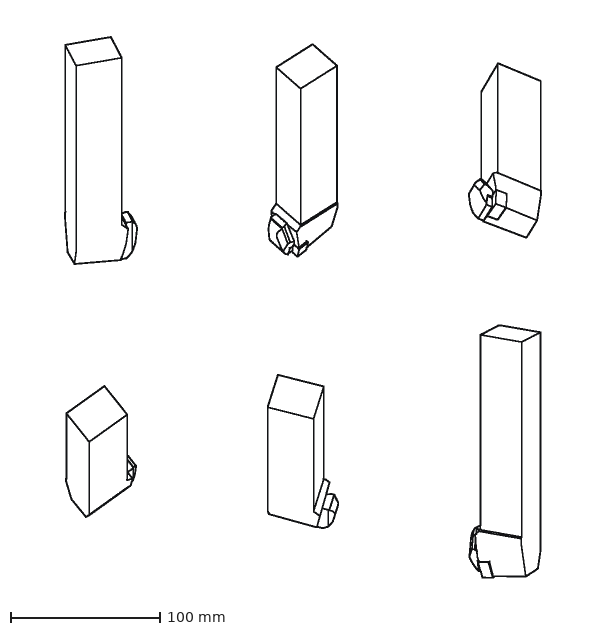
import cadquery as cq
import math

LENGTH = 171.4
WIDTH = 25.9
SHANK_DEPTH = 32.0
TOTAL_DEPTH = 44.9

HEAD_STEP = 0.5
STEP_TOP_Z = 34.5
STEP_BOTTOM_Z = 33.4
HEAD_SLOPE_SUM = 66.5
END_RELIEF_POINT = (6.0, 0, 5.1)
END_RELIEF_NORMAL = (0.07, -0.129, -1)
FLANK_POINT = (6.0, 0, 5.3)
FLANK_NORMAL = (-1, -0.1, -0.25)
BACK_RELIEF_Z = 18.2
BACK_RELIEF_SLOPE = 0.3

SEAT_POINT = (3.6, 32.2, 0)
SEAT_NORMAL = (-0.025, 1, -0.125)

INSERT_SIDE = 12.2
INSERT_THICKNESS = 8.0
INSERT_CORNER_ANGLE = 100.0
INSERT_EDGE_ANGLE = 6.5

CLAMP_TOP_Z = 31.7
CLAMP_RIGHT_X = 20.7
CLAMP_TOP_LEFT_X = 8.5
CLAMP_LEFT_X = 3.8
CLAMP_LEFT_Z = 18.8
CLAMP_NOSE_X = 7.4
CLAMP_NOSE_Z = 2.4
CLAMP_NOSE_Y = 36.8
CLAMP_SHOULDER_Y = 41.5
CLAMP_SHOULDER_Z = 30.7
NOSE_ARC_MIDDLE = (41.6, 8.4)
NOSE_ARC_END = (43.7, 13.4)
CROWN_START = (TOTAL_DEPTH, 23.1)
CROWN_MIDDLE = (44.0, 27.5)
CLAMP_EDGE_CHAMFER_X = 2.0
CLAMP_EDGE_CHAMFER_Y = 4.1
LEFT_BEVEL_Y = 40.5
LEFT_BEVEL_NORMAL = (-2.2, 2.5, 0.57)
LEFT_UNDERCUT_Y = 38.4
LEFT_UNDERCUT_NORMAL = (-1, -0.4, 0.41)
NOSE_RECESS_TOP_Z = 10.5
NOSE_RECESS_Y = 37.2
NOSE_RECESS_INSET = 0.9

CUTTER_SIZE = 514.0


def trim(body, point, outward):
    """Remove everything on the outward side of a plane."""
    plane = cq.Plane(origin=point, normal=outward)
    cutter = cq.Workplane(plane).rect(CUTTER_SIZE, CUTTER_SIZE).extrude(CUTTER_SIZE)
    return body.cut(cutter)


def extrude_y(points, start, end):
    """Extrude an XZ outline from y = start to y = end."""
    outline = cq.Workplane("XZ", origin=(0, start, 0)).polyline(points).close()
    return outline.extrude(start - end)


def make_insert():
    edge = math.radians(INSERT_EDGE_ANGLE)
    side = math.radians(INSERT_EDGE_ANGLE + INSERT_CORNER_ANGLE)
    plane = cq.Plane(origin=SEAT_POINT, xDir=(SEAT_NORMAL[1], -SEAT_NORMAL[0], 0), normal=SEAT_NORMAL)
    lower = (INSERT_SIDE * math.cos(edge), -INSERT_SIDE * math.sin(edge))
    upper = (INSERT_SIDE * math.cos(side), -INSERT_SIDE * math.sin(side))
    far = (lower[0] + upper[0], lower[1] + upper[1])
    outline = cq.Workplane(plane).polyline([(0, 0), lower, far, upper]).close()
    return outline.extrude(-INSERT_THICKNESS)


def make_shank():
    return cq.Workplane("XY").box(
        WIDTH - HEAD_STEP, SHANK_DEPTH, LENGTH - STEP_TOP_Z, centered=False
    ).translate((HEAD_STEP, 0, STEP_TOP_Z))


def make_head():
    outline = [
        (0, 0),
        (WIDTH - BACK_RELIEF_SLOPE * BACK_RELIEF_Z, 0),
        (WIDTH, BACK_RELIEF_Z),
        (WIDTH, STEP_TOP_Z),
        (HEAD_STEP, STEP_TOP_Z),
        (0, STEP_BOTTOM_Z),
    ]
    head = extrude_y(outline, 0, TOTAL_DEPTH)
    head = trim(head, (0, SHANK_DEPTH, HEAD_SLOPE_SUM - SHANK_DEPTH), (0, 1, 1))
    head = trim(head, SEAT_POINT, SEAT_NORMAL)
    head = trim(head, END_RELIEF_POINT, END_RELIEF_NORMAL)
    return trim(head, FLANK_POINT, FLANK_NORMAL)


def make_clamp():
    profile = (
        cq.Workplane("YZ")
        .moveTo(SHANK_DEPTH, CLAMP_NOSE_Z)
        .lineTo(CLAMP_NOSE_Y, CLAMP_NOSE_Z)
        .threePointArc(NOSE_ARC_MIDDLE, NOSE_ARC_END)
        .lineTo(*CROWN_START)
        .threePointArc(CROWN_MIDDLE, (CLAMP_SHOULDER_Y, CLAMP_SHOULDER_Z))
        .lineTo(CLAMP_SHOULDER_Y, CLAMP_TOP_Z)
        .lineTo(SHANK_DEPTH, CLAMP_TOP_Z)
        .close()
        .extrude(WIDTH)
    )
    outline = [
        (CLAMP_NOSE_X, CLAMP_NOSE_Z),
        (CLAMP_RIGHT_X, CLAMP_NOSE_Z),
        (CLAMP_RIGHT_X, CLAMP_TOP_Z),
        (CLAMP_TOP_LEFT_X, CLAMP_TOP_Z),
        (CLAMP_LEFT_X, CLAMP_LEFT_Z),
    ]
    clamp = profile.intersect(extrude_y(outline, SHANK_DEPTH, TOTAL_DEPTH))

    bevel_y = TOTAL_DEPTH - CLAMP_EDGE_CHAMFER_Y
    bevel_normal = (CLAMP_EDGE_CHAMFER_Y, CLAMP_EDGE_CHAMFER_X, 0)
    clamp = trim(clamp, (CLAMP_RIGHT_X, bevel_y, 0), bevel_normal)
    clamp = trim(clamp, (CLAMP_LEFT_X, LEFT_BEVEL_Y, CLAMP_LEFT_Z), LEFT_BEVEL_NORMAL)

    clamp = trim(clamp, (CLAMP_LEFT_X, LEFT_UNDERCUT_Y, CLAMP_LEFT_Z), LEFT_UNDERCUT_NORMAL)

    slope = (CLAMP_NOSE_X - CLAMP_LEFT_X) / (CLAMP_LEFT_Z - CLAMP_NOSE_Z)
    recess_x = CLAMP_NOSE_X + NOSE_RECESS_INSET
    recess_top_x = recess_x - slope * (NOSE_RECESS_TOP_Z - CLAMP_NOSE_Z)
    recess = [
        (0, CLAMP_NOSE_Z),
        (recess_x, CLAMP_NOSE_Z),
        (recess_top_x, NOSE_RECESS_TOP_Z),
        (0, NOSE_RECESS_TOP_Z),
    ]
    clamp = clamp.cut(extrude_y(recess, SHANK_DEPTH, NOSE_RECESS_Y))

    return trim(clamp, SEAT_POINT, tuple(-n for n in SEAT_NORMAL))


def make_holder(insert):
    holder = make_shank().union(make_head()).union(make_clamp())
    return holder.cut(insert)


insert = make_insert()
holder = make_holder(insert)

result = cq.Compound.makeCompound([holder.val(), insert.val()])